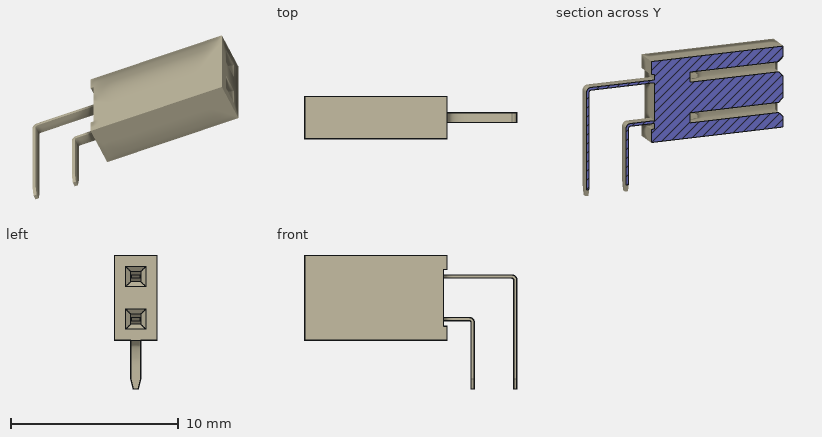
import cadquery as cq

pitch = 2.54
ways = 2
housing_length = 8.5
housing_width = pitch
housing_height = ways * pitch

recess_depth = 0.2
foot_height = 0.85

socket_mouth = 1.2
socket_size = 0.6
lead_in_depth = (socket_mouth - socket_size) / 2
socket_depth = 6.0

lead_width = 0.6
lead_thickness = 0.2
inner_bend_radius = 0.1
outer_bend_radius = inner_bend_radius + lead_thickness
total_length = 12.67
total_height = 7.98
lead_bottom = housing_height - total_height
tip_length = 0.6
tip_width = 0.3
tongue_width = 0.5
tongue_length = 0.5
lead_embed = 0.5


def way_height(way):
    """Height of a socket centre, counted from the lowest way."""
    return (way + 0.5) * pitch


def make_housing():
    block = cq.Workplane("XY").box(
        housing_length, housing_width, housing_height, centered=(False, True, False)
    )
    recess = cq.Workplane("XY").box(
        recess_depth, housing_width, housing_height - 2 * foot_height, centered=(False, True, False)
    )
    return block.cut(recess.translate((housing_length - recess_depth, 0, foot_height)))


def make_socket(way):
    lead_in = (
        cq.Workplane("YZ")
        .center(0, way_height(way))
        .rect(socket_mouth, socket_mouth)
        .workplane(offset=lead_in_depth)
        .rect(socket_size, socket_size)
        .loft(ruled=True)
    )
    bore = (
        cq.Workplane("YZ", origin=(lead_in_depth, 0, way_height(way)))
        .rect(socket_size, socket_size)
        .extrude(socket_depth - lead_in_depth)
    )
    return lead_in.union(bore)


def make_lead(way):
    """L-shaped strip that leaves the rear face and turns down to a tapered tip."""
    start_x = housing_length - recess_depth - lead_embed
    outer_x = total_length - (ways - 1 - way) * pitch
    inner_x = outer_x - lead_thickness
    top_z = way_height(way) + lead_thickness / 2
    under_z = top_z - lead_thickness
    bend_x = outer_x - outer_bend_radius
    bend_z = top_z - outer_bend_radius
    strip = (
        cq.Workplane("XZ")
        .moveTo(start_x, top_z)
        .lineTo(bend_x, top_z)
        .radiusArc((outer_x, bend_z), outer_bend_radius)
        .lineTo(outer_x, lead_bottom)
        .lineTo(inner_x, lead_bottom)
        .lineTo(inner_x, bend_z)
        .radiusArc((bend_x, under_z), -inner_bend_radius)
        .lineTo(start_x, under_z)
        .close()
        .extrude(lead_width / 2, both=True)
    )
    shoulder_z = lead_bottom + tip_length
    width_profile = (
        cq.Workplane("YZ")
        .polyline([
            (-lead_width / 2, top_z),
            (-lead_width / 2, shoulder_z),
            (-tip_width / 2, lead_bottom),
            (tip_width / 2, lead_bottom),
            (lead_width / 2, shoulder_z),
            (lead_width / 2, top_z),
        ])
        .close()
        .extrude(total_length)
    )
    return strip.intersect(width_profile)


def make_tongue(way):
    return (
        cq.Workplane("YZ", origin=(socket_depth - tongue_length, 0, way_height(way)))
        .rect(tongue_width, lead_thickness)
        .extrude(tongue_length + lead_embed)
    )


result = make_housing()
for way_index in range(ways):
    result = result.cut(make_socket(way_index))
    result = result.union(make_lead(way_index))
    result = result.union(make_tongue(way_index))